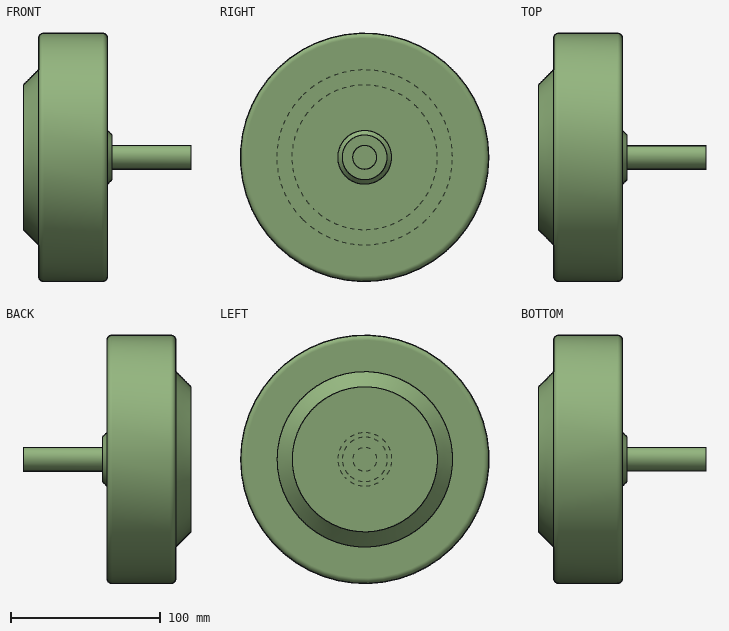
import cadquery as cq

overall_length = 112.0
wheel_diameter = 166.0
wheel_width = 46.1
rim_fillet = 3.5

cap_height = 10.1
cap_face_diameter = 97.0
cap_base_diameter = cap_face_diameter + 2 * cap_height

hub_height = 3.0
hub_face_diameter = 29.9
hub_base_diameter = hub_face_diameter + 2 * hub_height

shaft_diameter = 16.0

wheel_front = cap_height
wheel_back = wheel_front + wheel_width
hub_face = wheel_back + hub_height


def disc(start, length, diameter):
    """Cylinder on the X axis, running from start toward +X."""
    return cq.Workplane("YZ", origin=(start, 0, 0)).circle(diameter / 2).extrude(length)


def cone(start, end, start_diameter, end_diameter):
    """Truncated cone on the X axis between two stations."""
    profile = [
        (start, 0),
        (start, start_diameter / 2),
        (end, end_diameter / 2),
        (end, 0),
    ]
    return cq.Workplane("XY").polyline(profile).close().revolve(360, (0, 0, 0), (1, 0, 0))


wheel = disc(wheel_front, wheel_width, wheel_diameter).edges("%CIRCLE").fillet(rim_fillet)
cap = cone(0, wheel_front, cap_face_diameter, cap_base_diameter)
hub = cone(wheel_back, hub_face, hub_base_diameter, hub_face_diameter)
shaft = disc(hub_face, overall_length - hub_face, shaft_diameter)

result = wheel.union(cap).union(hub).union(shaft)